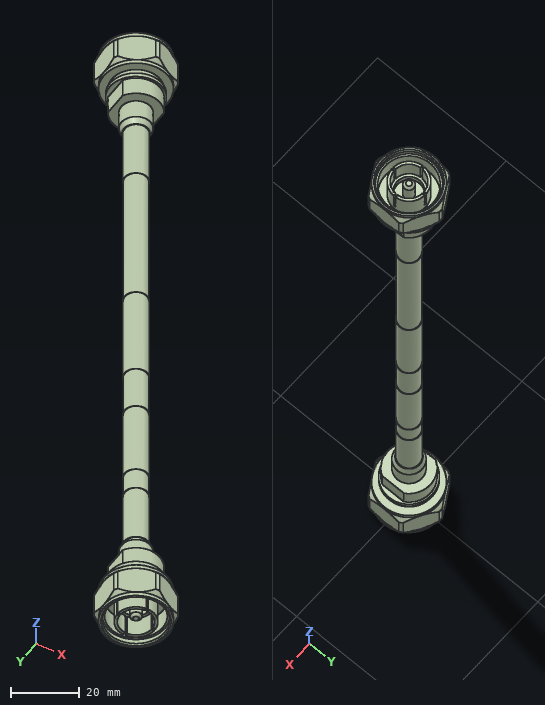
import cadquery as cq
import math

ASSEMBLY_LENGTH = 228.7
HALF_LENGTH = ASSEMBLY_LENGTH / 2

NUT_FRONT = 0.2
NUT_BACK = 12.5
COLLAR_FRONT = 14.6
COLLAR_BACK = 16.0
BODY_BACK = 22.2
FERRULE_TAPER_START = 28.5
PLUG_LENGTH = 30.6

NUT_ACROSS_FLATS = 22.0
NUT_ACROSS_CORNERS = NUT_ACROSS_FLATS / math.cos(math.pi / 6)
NUT_CORNER_TRIM = 0.37
NUT_END_LAND = 1.4
NUT_BORE_RADIUS = 9.1
NUT_MOUTH_RADIUS = 9.8
NUT_MOUTH_DEPTH = 2.0
NUT_MOUTH_CHAMFER = 0.5
SOCKET_DEPTH = 9.1

BODY_RADIUS = 8.2
COLLAR_RADIUS = 9.0
BODY_FLAT_DISTANCE = 7.0
FERRULE_RADIUS = 5.0
FERRULE_END_RADIUS = 4.1

SLEEVE_OUTER_RADIUS = 6.5
SLEEVE_INNER_RADIUS = 4.5
FINGER_INNER_RADIUS = 5.5
FINGER_LENGTH = 6.9
SLOT_WIDTH = 0.7
SLOT_COUNT = 4
PIN_RADIUS = 1.8
PIN_RECESS = 1.4
PIN_CHAMFER = 1.0

CABLE_RADIUS = 4.0
BAND_DEPTH = 0.11
BAND_SPANS = [(15.8, 64.0), (-30.5, -15.3), (-63.5, -56.0)]


def cylinder(radius, start, end):
    """Cylinder about Z between two heights."""
    return cq.Workplane("XY").workplane(offset=start).circle(radius).extrude(end - start)


def nut_blank():
    """Hexagon with flats facing X, its corners turned down to a round land at both ends."""
    corner_radius = NUT_ACROSS_CORNERS / 2 - NUT_CORNER_TRIM
    land_radius = NUT_ACROSS_FLATS / 2
    corner_chamfer = corner_radius - land_radius
    turned = (
        cq.Workplane("XZ")
        .moveTo(0, NUT_FRONT)
        .lineTo(land_radius, NUT_FRONT)
        .lineTo(land_radius, NUT_FRONT + NUT_END_LAND)
        .lineTo(corner_radius, NUT_FRONT + NUT_END_LAND + corner_chamfer)
        .lineTo(corner_radius, NUT_BACK - NUT_END_LAND - corner_chamfer)
        .lineTo(land_radius, NUT_BACK - NUT_END_LAND)
        .lineTo(land_radius, NUT_BACK)
        .lineTo(0, NUT_BACK)
        .close()
        .revolve(360, (0, 0), (0, 1))
    )
    hexagon = (
        cq.Workplane("XY")
        .workplane(offset=NUT_FRONT)
        .transformed(rotate=(0, 0, 90))
        .polygon(6, NUT_ACROSS_CORNERS)
        .extrude(NUT_BACK - NUT_FRONT)
    )
    return turned.intersect(hexagon)


def make_nut():
    """Coupling nut with a stepped, chamfered mouth and a flat-bottomed socket."""
    bore = cylinder(NUT_BORE_RADIUS, NUT_FRONT, SOCKET_DEPTH)
    mouth = cylinder(NUT_MOUTH_RADIUS, NUT_FRONT, NUT_FRONT + NUT_MOUTH_DEPTH)
    mouth_rim = cq.selectors.RadiusNthSelector(0)
    nut = nut_blank().cut(bore).cut(mouth)
    return nut.faces("<Z").edges("%CIRCLE").edges(mouth_rim).chamfer(NUT_MOUTH_CHAMFER)


def plug_back():
    """Body with two wrench flats, its collar and the tapered crimp ferrule."""
    flats = (
        cq.Workplane("XY")
        .workplane(offset=COLLAR_BACK)
        .rect(2 * BODY_FLAT_DISTANCE, 2 * BODY_RADIUS)
        .extrude(BODY_BACK - COLLAR_BACK)
    )
    body = cylinder(BODY_RADIUS, COLLAR_BACK, BODY_BACK).intersect(flats)
    neck = cylinder(BODY_RADIUS, NUT_BACK, COLLAR_FRONT)
    collar = cylinder(COLLAR_RADIUS, COLLAR_FRONT, COLLAR_BACK)
    ferrule = (
        cylinder(FERRULE_RADIUS, BODY_BACK, PLUG_LENGTH)
        .faces(">Z")
        .chamfer(PLUG_LENGTH - FERRULE_TAPER_START, FERRULE_RADIUS - FERRULE_END_RADIUS)
    )
    return neck.union(collar).union(body).union(ferrule)


def contact_sleeve():
    """Outer contact: a thin tube slit into spring fingers, standing on a thicker root."""
    sleeve = (
        cylinder(SLEEVE_OUTER_RADIUS, 0, SOCKET_DEPTH)
        .cut(cylinder(FINGER_INNER_RADIUS, 0, FINGER_LENGTH))
        .cut(cylinder(SLEEVE_INNER_RADIUS, FINGER_LENGTH, SOCKET_DEPTH))
    )
    for index in range(SLOT_COUNT):
        slot = (
            cq.Workplane("XY")
            .center(SLEEVE_OUTER_RADIUS / 2, 0)
            .rect(SLEEVE_OUTER_RADIUS, SLOT_WIDTH)
            .extrude(FINGER_LENGTH)
            .rotate((0, 0, 0), (0, 0, 1), index * 360 / SLOT_COUNT)
        )
        sleeve = sleeve.cut(slot)
    return sleeve


def contact_pin():
    """Centre contact, set back from the sleeve tip."""
    return cylinder(PIN_RADIUS, PIN_RECESS, SOCKET_DEPTH).faces("<Z").chamfer(PIN_CHAMFER)


def make_plug():
    """Complete plug with its tip at the origin and the cable end towards +Z."""
    return make_nut().union(plug_back()).union(contact_sleeve()).union(contact_pin())


def make_cable():
    """Cable between the two ferrules, with its slightly recessed label bands."""
    cable_end = HALF_LENGTH - PLUG_LENGTH
    cable = cylinder(CABLE_RADIUS, -cable_end, cable_end)
    for lower, upper in BAND_SPANS:
        core = cylinder(CABLE_RADIUS - BAND_DEPTH, lower, upper)
        cable = cable.cut(cylinder(CABLE_RADIUS, lower, upper).cut(core))
    return cable


plugs = []
for turn in (0, 180):
    plug = make_plug().translate((0, 0, -HALF_LENGTH)).rotate((0, 0, 0), (1, 0, 0), turn)
    plugs.append(plug.val())

cable = make_cable()

result = cq.Compound.makeCompound([cable.val(), *plugs])